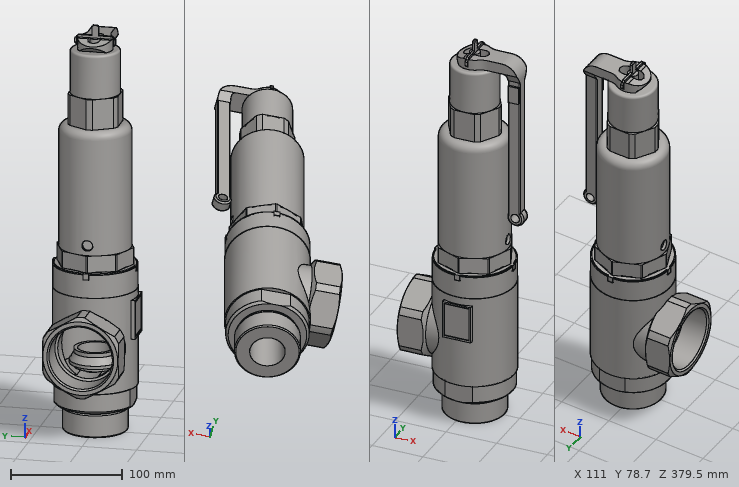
import cadquery as cq
import math

total_height = 379.5

body_radius = 38.7
body_top_z = 156.0
collar_radius = 38.5
collar_bottom_z = 134.5
foot_radius = 37.5
foot_top_z = 43.5
foot_bottom_z = 24.5
foot_chamfer = 2.3
foot_flat_width = 70.2

nipple_radius = 29.5
nipple_top_z = 22.0
nipple_chamfer = 1.0
neck_radius = 28.0
inlet_bore_radius = 16.0
nozzle_tip_radius = 19.5
nozzle_shoulder_radius = 23.5
nozzle_top_z = 76.3
nozzle_tip_bottom_z = 72.5
nozzle_shoulder_z = 65.5
nozzle_root_z = 62.5

cavity_radius = 32.3
cavity_floor_z = 59.2

outlet_z = 84.3
outlet_face_x = -61.0
outlet_flat_width = 70.0
outlet_corner_radius = 38.5
outlet_face_radius = 34.5
outlet_front_chamfer_length = 2.0
outlet_neck_radius = 32.5
outlet_back_x = -33.8
outlet_bevel_length = 3.5
outlet_thread_radius = 29.2
outlet_thread_end_x = -35.3
outlet_step_length = 1.0
outlet_mouth_chamfer = 1.5
outlet_throat_radius = 27.0

badge_width = 28.0
badge_height = 36.5
badge_center_z = 109.0
badge_face_y = -40.0
badge_rim = 2.0
badge_recess = 0.8

washer_thickness = 1.0
washer_radius = 37.2
tab_count = 4
tab_width = 5.5
tab_reach = 38.7
tab_depth = 3.0
tab_bottom_z = 151.5

bonnet_radius = 33.0
bonnet_top_z = 288.5
bonnet_fillet = 7.5
octagon_flat_width = 65.5
octagon_corner_radius = 35.3
octagon_top_z = 172.7
spigot_bottom_z = 129.0
bonnet_bore_radius = 30.0
bonnet_roof = 9.5
vent_radius = 5.0
vent_z = 182.0

cap_radius = 22.8
cap_top_z = 357.5
cap_fillet = 2.3
cap_hex_flat_width = 46.0
cap_hex_corner_radius = 25.0
cap_hex_top_z = 317.0

spindle_radius = 5.0

lever_top_z = 368.0
lever_thickness = 10.2
lever_half_width = 10.5
head_radius = 16.0
head_slope_start_x = -4.5
head_tip_low_z = 362.5
head_tip_high_z = 364.0
head_heel_x = -10.2
head_blend_radius = 15.0
slot_left_x = -10.5
slot_right_x = 13.5
slot_half_width = 5.7
bend_outer_radius = 15.5
arm_outer_x = 47.0
arm_inner_x = 35.3
arm_half_width = 5.5
arm_chamfer = 0.95
taper_bottom_z = 349.0
eye_x = 42.0
eye_z = 208.0
eye_radius = 8.0
eye_hole_radius = 4.0
eye_chamfer = 1.5
pad_top_z = 344.3
pad_bottom_z = 327.5
pad_margin = 0.8
pad_raise = 2.0

clip_thickness = 2.3
clip_half_length = 19.0
clip_wire = 2.0
clip_bottom_z = 361.0
clip_corner = 3.5
blade_half_width = 3.0
blade_chamfer = 1.0


def cylinder(radius, bottom_z, top_z):
    return cq.Workplane("XY", origin=(0, 0, bottom_z)).circle(radius).extrude(top_z - bottom_z)


def revolved(points):
    """Turn a closed (radius, z) outline about the valve axis."""
    return cq.Workplane("XZ").polyline(points).close().revolve(360, (0, 0, 0), (0, 1, 0))


def revolved_about_outlet(points):
    """Turn a closed (x, distance from the outlet axis) outline about the outlet axis."""
    outline = cq.Workplane("XZ", origin=(0, 0, outlet_z)).polyline(points).close()
    return outline.revolve(360, (0, 0, 0), (1, 0, 0))


def prism_profile(plane, sides, flat_width):
    """Regular polygon outline with its first corner on the plane's local x direction."""
    return plane.polygon(sides, flat_width / math.cos(math.pi / sides))


def box(x_range, y_range, z_range):
    size = [high - low for low, high in (x_range, y_range, z_range)]
    low_corner = (x_range[0], y_range[0], z_range[0])
    return cq.Workplane("XY").box(*size, centered=False).translate(low_corner)


def foot_and_nipple():
    foot = cylinder(foot_radius, foot_bottom_z, foot_top_z).faces("<Z").chamfer(foot_chamfer)
    flats = box(
        (-foot_radius, foot_radius),
        (-foot_flat_width / 2, foot_flat_width / 2),
        (foot_bottom_z, foot_top_z),
    )
    neck = cylinder(neck_radius, nipple_top_z, foot_bottom_z)
    nipple = cylinder(nipple_radius, 0, nipple_top_z).faces("<Z or >Z").chamfer(nipple_chamfer)
    return foot.intersect(flats).union(neck).union(nipple)


def outlet_hexagon():
    """Hexagon with rounded corners, a shallow front chamfer and a bevel behind, plus its neck."""
    bevel_start_x = outlet_back_x - outlet_bevel_length
    envelope = revolved_about_outlet([
        (outlet_face_x, 0),
        (outlet_face_x, outlet_face_radius),
        (outlet_face_x + outlet_front_chamfer_length, outlet_corner_radius),
        (bevel_start_x, outlet_corner_radius),
        (outlet_back_x, outlet_neck_radius),
        (0, outlet_neck_radius),
        (0, 0),
    ])
    plane = cq.Plane(origin=(outlet_face_x, 0, outlet_z), xDir=(0, 0, 1), normal=(1, 0, 0))
    hexagon = prism_profile(cq.Workplane(plane), 6, outlet_flat_width).extrude(-outlet_face_x)
    return hexagon.intersect(envelope)


def outlet_bore():
    return revolved_about_outlet([
        (outlet_face_x, 0),
        (outlet_face_x, outlet_thread_radius + outlet_mouth_chamfer),
        (outlet_face_x + outlet_mouth_chamfer, outlet_thread_radius),
        (outlet_thread_end_x, outlet_thread_radius),
        (outlet_thread_end_x + outlet_step_length, outlet_throat_radius),
        (0, outlet_throat_radius),
        (0, 0),
    ])


def nozzle():
    return revolved([
        (0, cavity_floor_z),
        (0, nozzle_top_z),
        (nozzle_tip_radius, nozzle_top_z),
        (nozzle_tip_radius, nozzle_tip_bottom_z),
        (nozzle_shoulder_radius, nozzle_shoulder_z),
        (nozzle_shoulder_radius, nozzle_root_z),
        (nozzle_tip_radius, nozzle_root_z),
        (nozzle_tip_radius, cavity_floor_z),
    ])


def badge():
    def slab(rim, near_y, far_y):
        half_width = badge_width / 2 - rim
        half_height = badge_height / 2 - rim
        z_range = (badge_center_z - half_height, badge_center_z + half_height)
        return box((-half_width, half_width), (near_y, far_y), z_range)

    recess_floor_y = badge_face_y + badge_recess
    plate = slab(0, badge_face_y, -cavity_radius)
    return plate.cut(slab(badge_rim, badge_face_y, recess_floor_y))


def make_tabs():
    """Folded tabs of the lock washer, evenly spaced around the collar."""
    tabs = cq.Workplane("XY")
    for index in range(tab_count):
        tab = box(
            (tab_reach - tab_depth, tab_reach),
            (-tab_width / 2, tab_width / 2),
            (tab_bottom_z, body_top_z + washer_thickness),
        )
        tabs = tabs.union(tab.rotate((0, 0, 0), (0, 0, 1), index * 360 / tab_count))
    return tabs


def make_body():
    barrel = cylinder(body_radius, foot_top_z, collar_bottom_z)
    collar = cylinder(collar_radius, collar_bottom_z, body_top_z)
    shell = barrel.union(collar).union(foot_and_nipple()).union(outlet_hexagon()).union(badge())
    shell = shell.cut(cylinder(cavity_radius, cavity_floor_z, body_top_z)).cut(outlet_bore())
    shell = shell.union(nozzle()).cut(cylinder(inlet_bore_radius, 0, nozzle_top_z))
    return shell.cut(make_tabs())


def make_washer():
    top_z = body_top_z + washer_thickness
    ring = cylinder(washer_radius, body_top_z, top_z).cut(cylinder(cavity_radius, body_top_z, top_z))
    return ring.union(make_tabs())


def make_bonnet():
    octagon_bottom_z = body_top_z + washer_thickness
    octagon_height = octagon_top_z - octagon_bottom_z
    plane = cq.Workplane("XY", origin=(0, 0, octagon_bottom_z))
    octagon = prism_profile(plane, 8, octagon_flat_width).extrude(octagon_height)
    octagon = octagon.intersect(cylinder(octagon_corner_radius, octagon_bottom_z, octagon_top_z))
    tube = cylinder(bonnet_radius, octagon_top_z, bonnet_top_z).faces(">Z").edges().fillet(bonnet_fillet)
    spigot = cylinder(cavity_radius, spigot_bottom_z, octagon_bottom_z)
    bonnet = tube.union(octagon).union(spigot)
    bonnet = bonnet.cut(cylinder(bonnet_bore_radius, spigot_bottom_z, bonnet_top_z - bonnet_roof))
    vent = cq.Workplane("YZ", origin=(0, 0, vent_z)).circle(vent_radius).extrude(bonnet_radius, both=True)
    return bonnet.cut(vent)


def make_cap():
    barrel = cylinder(cap_radius, bonnet_top_z, cap_top_z).faces(">Z").edges().fillet(cap_fillet)
    plane = cq.Workplane("XY", origin=(0, 0, bonnet_top_z))
    hexagon = prism_profile(plane, 6, cap_hex_flat_width).extrude(cap_hex_top_z - bonnet_top_z)
    hexagon = hexagon.intersect(cylinder(cap_hex_corner_radius, bonnet_top_z, cap_hex_top_z))
    return barrel.union(hexagon).cut(cylinder(spindle_radius, bonnet_top_z, cap_top_z))


def make_spindle():
    return cylinder(spindle_radius, bonnet_top_z, lever_top_z)


def lever_side_profile():
    """Side outline of the head, the bend and the arm down to the eye."""
    low_z = lever_top_z - lever_thickness
    bend_x = arm_outer_x - bend_outer_radius
    bend_z = lever_top_z - bend_outer_radius
    inner_bend_radius = arm_inner_x - bend_x
    diagonal = math.sqrt(0.5)
    outer_middle = (bend_x + bend_outer_radius * diagonal, bend_z + bend_outer_radius * diagonal)
    inner_middle = (bend_x + inner_bend_radius * diagonal, low_z - inner_bend_radius * (1 - diagonal))
    return (
        cq.Workplane("XZ")
        .moveTo(head_heel_x, low_z)
        .lineTo(-head_radius, head_tip_low_z)
        .lineTo(-head_radius, head_tip_high_z)
        .lineTo(head_slope_start_x, lever_top_z)
        .lineTo(bend_x, lever_top_z)
        .threePointArc(outer_middle, (arm_outer_x, bend_z))
        .lineTo(arm_outer_x, taper_bottom_z)
        .lineTo(2 * eye_x - arm_inner_x, eye_z)
        .lineTo(arm_inner_x, eye_z)
        .lineTo(arm_inner_x, low_z - inner_bend_radius)
        .threePointArc(inner_middle, (bend_x, low_z))
        .close()
        .extrude(head_radius, both=True)
    )


def lever_plan():
    """Outline from above: a round head blending into the straight strip."""
    blend_y = lever_half_width + head_blend_radius
    blend_x = math.sqrt((head_radius + head_blend_radius) ** 2 - blend_y ** 2)
    share = head_radius / (head_radius + head_blend_radius)
    head_point = (blend_x * share, blend_y * share)
    middle_angle = (math.atan2(-blend_y, -blend_x) - math.pi / 2) / 2
    middle = (
        blend_x + head_blend_radius * math.cos(middle_angle),
        blend_y + head_blend_radius * math.sin(middle_angle),
    )
    return (
        cq.Workplane("XY")
        .moveTo(*head_point)
        .threePointArc(middle, (blend_x, lever_half_width))
        .lineTo(arm_outer_x, lever_half_width)
        .lineTo(arm_outer_x, -lever_half_width)
        .lineTo(blend_x, -lever_half_width)
        .threePointArc((middle[0], -middle[1]), (head_point[0], -head_point[1]))
        .threePointArc((-head_radius, 0), head_point)
        .close()
        .extrude(lever_top_z)
    )


def lever_end_profile():
    """Outline along X: full width at the head, tapering to the narrow arm below the bend."""
    low_z = lever_top_z - lever_thickness
    right_side = [
        (head_radius, lever_top_z),
        (head_radius, low_z),
        (lever_half_width, low_z),
        (arm_half_width, taper_bottom_z),
        (arm_half_width, eye_z),
    ]
    left_side = [(-y, z) for y, z in reversed(right_side)]
    outline = cq.Workplane("YZ").polyline(right_side + left_side).close()
    return outline.extrude(eye_x + eye_radius, both=True)


def lever_slot():
    length = slot_right_x - slot_left_x
    center_x = (slot_left_x + slot_right_x) / 2
    return (
        cq.Workplane("XY", origin=(center_x, 0, lever_top_z - lever_thickness))
        .slot2D(length, 2 * slot_half_width)
        .extrude(lever_thickness)
    )


def lever_eye(radius):
    plane = cq.Workplane("XZ", origin=(eye_x, 0, eye_z))
    return plane.circle(radius).extrude(arm_half_width, both=True)


def make_lever():
    strip = lever_side_profile().intersect(lever_plan()).intersect(lever_end_profile())
    arm_edges = cq.selectors.BoxSelector(
        (arm_inner_x - arm_chamfer, -lever_half_width, eye_z - eye_radius),
        (eye_x + eye_radius, lever_half_width, taper_bottom_z - arm_chamfer),
    )
    strip = strip.edges(arm_edges).edges("not #Z").chamfer(arm_chamfer)
    eye = lever_eye(eye_radius).faces("<Y or >Y").chamfer(eye_chamfer)
    pad = box(
        (arm_inner_x + pad_margin, arm_outer_x - pad_margin),
        (-arm_half_width - pad_raise, 0),
        (pad_bottom_z, pad_top_z),
    )
    return strip.union(eye).union(pad).cut(lever_slot()).cut(lever_eye(eye_hole_radius))


def make_clip():
    """Flat wire bow with bent-down ends and an upright blade in the middle."""
    bar_top_z = lever_top_z + clip_thickness
    inner_half_length = clip_half_length - clip_wire
    right_side = [
        (blade_half_width - blade_chamfer, total_height),
        (blade_half_width, total_height - blade_chamfer),
        (blade_half_width, bar_top_z),
        (clip_half_length - clip_corner, bar_top_z),
        (clip_half_length, bar_top_z - clip_corner),
        (clip_half_length, clip_bottom_z + clip_wire),
        (inner_half_length, clip_bottom_z),
        (inner_half_length, lever_top_z),
    ]
    left_side = [(-y, z) for y, z in reversed(right_side)]
    outline = cq.Workplane("YZ").polyline(right_side + left_side).close()
    return outline.extrude(clip_thickness / 2, both=True)


body = make_body()
washer = make_washer()
bonnet = make_bonnet()
cap = make_cap()
spindle = make_spindle()
lever = make_lever()
clip = make_clip()

result = cq.Compound.makeCompound([
    body.val(),
    washer.val(),
    bonnet.val(),
    cap.val(),
    spindle.val(),
    lever.val(),
    clip.val(),
])